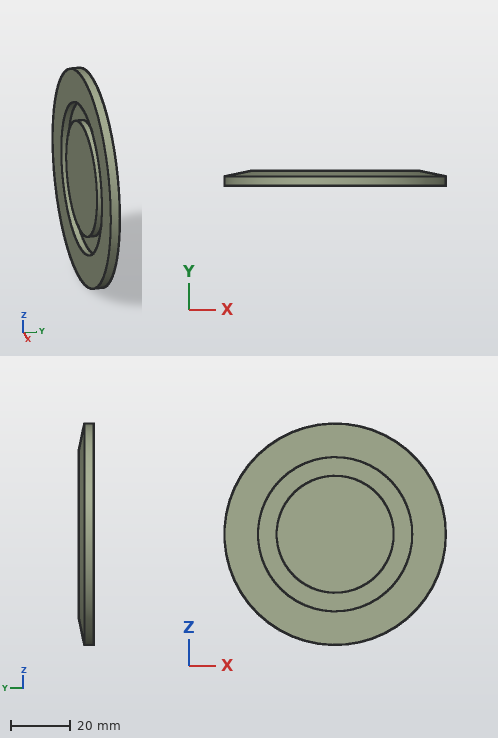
import cadquery as cq

outer_radius = 37.5
thickness = 5.1
rim_height = 3.2
back_radius = 28.5

groove_outer_radius = 26.1
boss_radius = 19.8
groove_depth = 2.4

face_y = -thickness / 2
back_y = thickness / 2
rim_y = face_y + rim_height
floor_y = face_y + groove_depth

half_section = [
    (0, face_y),
    (boss_radius, face_y),
    (boss_radius, floor_y),
    (groove_outer_radius, floor_y),
    (groove_outer_radius, face_y),
    (outer_radius, face_y),
    (outer_radius, rim_y),
    (back_radius, back_y),
    (0, back_y),
]

result = cq.Workplane("XY").polyline(half_section).close().revolve(360, (0, 0), (0, 1))